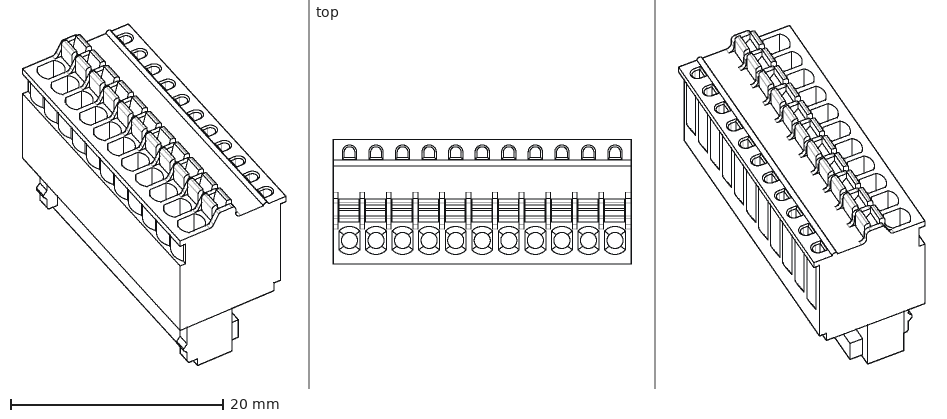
import cadquery as cq
import math


LENGTH = 28.1
POLES = 11
PITCH = 2.5
POLE_X = [(i - (POLES - 1) / 2) * PITCH for i in range(POLES)]

DEPTH = 11.75
HEIGHT = 19.2
BODY_BOTTOM = 5.75
TOP = 17.25
FLANGE_BOTTOM = 16.55
REAR_FACE = 11.15
REAR_STEP_Y = 10.43
REAR_STEP_Z = 6.75
FRONT_RECESS_DEPTH = 0.62
FRONT_RECESS_BOTTOM = 14.05

ENTRY_Y = 2.22
ENTRY_RADIUS = 1.32
ENTRY_WIDTH = 1.97
ENTRY_FLOOR_RADIUS = 0.75
ENTRY_SHAFT_DEPTH = 3.37
ENTRY_FUNNEL_DEPTH = 1.12
ENTRY_WALL_RADIUS = 1.97

TEST_Y = 10.55
TEST_RADIUS = 0.67
TEST_FLAT_OFFSET = 0.67
TEST_CHAMFER = 0.17
TEST_DEPTH = 5.62
TEST_WALL_RADIUS = 1.05
TEST_WALL_BOTTOM = 9.75
TEST_WALL_TAPER_TOP = 10.5

BEAD_Y = 9.53
BEAD_RADIUS = 0.28

RIDGE_SHIFT = -0.042

RIB_WIDTH = 0.45
RIB_TOP = 18.75
RIB_FOOT_Y = 3.3
RIB_FOOT_ARC_MIDDLE = (3.55, 17.35)
RIB_SLOPE_START = (3.7, 17.55)
RIB_SLOPE_END = (4.3, 18.6)
RIB_CREST_ARC_MIDDLE = (4.38, 18.71)
RIB_CREST_Y = 4.52
RIB_REAR = 6.18
RIB_REAR_FILLET = 0.53
RIB_REAR_ROUND = 0.42

BAR_WIDTH = 1.88
BAR_FRONT = 3.95
BAR_REAR = 6.13
BAR_ROUND = 0.3
GROOVE_FLOOR = 17.7
GROOVE_SLOPE_TOP = 18.26
GROOVE_TOP_Y = (4.52, 5.55)
GROOVE_FLOOR_Y = (5.05, 5.23)

PLUG_LENGTH = 27.57
PLUG_FRONT = 2.1
PLUG_REAR = 5.93
PAD_FRONT = 0.8
PAD_THICKNESS = 0.08

LATCH_WIDTH = 1.26
LATCH_FRONT = 0.95
LATCH_BOTTOM = 0.87
LATCH_CHAMFER_Y = 0.17
LATCH_CHAMFER_Z = 0.28
BARB_TIP_Y = 0.55
BARB_Z = (2.22, 2.67, 2.9, 3.35)

RAIL_LENGTH = 25.51
RAIL_REAR = 7.28
RAIL_BOTTOM = 0.3
RAIL_TOP = 2.55
GUSSET_REAR = 7.2
GUSSET_BOTTOM = 4.7


def block(x0, x1, y0, y1, z0, z1):
    """Box between the given coordinates."""
    return cq.Workplane("XY").box(x1 - x0, y1 - y0, z1 - z0, centered=False).translate((x0, y0, z0))


def side_plane(x0):
    """Workplane at x0 whose local axes are Y and Z and which extrudes toward +X."""
    return cq.Workplane("YZ", origin=(x0, 0, 0))


def housing():
    outline = [
        (0, BODY_BOTTOM),
        (REAR_STEP_Y, BODY_BOTTOM),
        (REAR_STEP_Y, REAR_STEP_Z),
        (REAR_FACE, REAR_STEP_Z),
        (REAR_FACE, FLANGE_BOTTOM),
        (DEPTH, FLANGE_BOTTOM),
        (DEPTH, TOP),
        (0, TOP),
        (0, FLANGE_BOTTOM),
        (FRONT_RECESS_DEPTH, FLANGE_BOTTOM),
        (FRONT_RECESS_DEPTH, FRONT_RECESS_BOTTOM),
        (0, FRONT_RECESS_BOTTOM),
    ]
    body = side_plane(-LENGTH / 2).polyline(outline).close().extrude(LENGTH)
    bead = side_plane(-LENGTH / 2).center(BEAD_Y, TOP).circle(BEAD_RADIUS).extrude(LENGTH)
    return body.union(bead)


def entry_wall(x):
    """Round wall of a wire entry, bulging into the front recess."""
    height = FLANGE_BOTTOM - FRONT_RECESS_BOTTOM
    wall = (
        cq.Workplane("XY", origin=(x, ENTRY_Y, FRONT_RECESS_BOTTOM))
        .circle(ENTRY_WALL_RADIUS)
        .extrude(height)
    )
    x0 = x - PITCH / 2
    keep = block(x0, x0 + PITCH, 0, ENTRY_Y, FRONT_RECESS_BOTTOM, FLANGE_BOTTOM)
    return wall.intersect(keep)


def test_wall(x):
    """Round wall of a test hole, bulging from the rear face with a sloped lower end."""
    outer_y = TEST_Y + TEST_WALL_RADIUS
    cylinder = (
        cq.Workplane("XY", origin=(x, TEST_Y, TEST_WALL_BOTTOM))
        .circle(TEST_WALL_RADIUS)
        .extrude(FLANGE_BOTTOM - TEST_WALL_BOTTOM)
    )
    keep = (
        side_plane(x - TEST_WALL_RADIUS)
        .moveTo(TEST_Y, TEST_WALL_BOTTOM)
        .lineTo(REAR_FACE, TEST_WALL_BOTTOM)
        .lineTo(outer_y, TEST_WALL_TAPER_TOP)
        .lineTo(outer_y, FLANGE_BOTTOM)
        .lineTo(TEST_Y, FLANGE_BOTTOM)
        .close()
        .extrude(2 * TEST_WALL_RADIUS)
    )
    return cylinder.intersect(keep)


def four_sided_outline(plane, half_width, half_flat, radius, side_bulge):
    """Closed outline with arcs front and rear; its two sides are arcs or, without bulge, straight."""
    plane = plane.moveTo(half_width, -half_flat)
    if side_bulge:
        plane = plane.threePointArc((radius, 0), (half_width, half_flat))
    else:
        plane = plane.lineTo(half_width, half_flat)
    plane = plane.threePointArc((0, radius), (-half_width, half_flat))
    if side_bulge:
        plane = plane.threePointArc((-radius, 0), (-half_width, -half_flat))
    else:
        plane = plane.lineTo(-half_width, -half_flat)
    return plane.threePointArc((0, -radius), (half_width, -half_flat)).close()


def wire_entry(x):
    """Straight flat-sided shaft that ends in a funnel down to a circular floor."""
    half_width = ENTRY_WIDTH / 2
    half_flat = math.sqrt(ENTRY_RADIUS**2 - half_width**2)
    floor_corner = ENTRY_FLOOR_RADIUS * math.sqrt(0.5)
    shaft_bottom = cq.Workplane("XY", origin=(x, ENTRY_Y, TOP - ENTRY_SHAFT_DEPTH))
    shaft = four_sided_outline(shaft_bottom, half_width, half_flat, ENTRY_RADIUS, False)
    shaft = shaft.extrude(ENTRY_SHAFT_DEPTH)
    floor = cq.Workplane("XY", origin=(x, ENTRY_Y, TOP - ENTRY_SHAFT_DEPTH - ENTRY_FUNNEL_DEPTH))
    funnel = four_sided_outline(floor, floor_corner, floor_corner, ENTRY_FLOOR_RADIUS, True)
    funnel = funnel.workplane(offset=ENTRY_FUNNEL_DEPTH)
    funnel = four_sided_outline(funnel, half_width, half_flat, ENTRY_RADIUS, False)
    return shaft.union(funnel.loft(ruled=True))


def d_outline(plane, inset):
    """D outline with its round side to the rear, shrunk by the inset."""
    radius = TEST_RADIUS - inset
    flat = TEST_FLAT_OFFSET - inset
    return (
        plane.moveTo(-radius, -flat)
        .lineTo(radius, -flat)
        .lineTo(radius, 0)
        .threePointArc((0, radius), (-radius, 0))
        .close()
    )


def test_hole(x):
    chamfer = d_outline(cq.Workplane("XY", origin=(x, TEST_Y, TOP)), 0)
    chamfer = chamfer.workplane(offset=-TEST_CHAMFER)
    chamfer = d_outline(chamfer, TEST_CHAMFER).loft(ruled=True)
    shaft = cq.Workplane("XY", origin=(x, TEST_Y, TOP - TEST_DEPTH))
    shaft = d_outline(shaft, TEST_CHAMFER).extrude(TEST_DEPTH)
    return chamfer.union(shaft)


def partition_rib(x0, x1):
    """Humped rib across the top face, curved into the face at both feet."""
    return (
        side_plane(x0)
        .moveTo(RIB_FOOT_Y, TOP)
        .threePointArc(RIB_FOOT_ARC_MIDDLE, RIB_SLOPE_START)
        .lineTo(*RIB_SLOPE_END)
        .threePointArc(RIB_CREST_ARC_MIDDLE, (RIB_CREST_Y, RIB_TOP))
        .lineTo(RIB_REAR - RIB_REAR_ROUND, RIB_TOP)
        .radiusArc((RIB_REAR, RIB_TOP - RIB_REAR_ROUND), RIB_REAR_ROUND)
        .lineTo(RIB_REAR, TOP + RIB_REAR_FILLET)
        .radiusArc((RIB_REAR + RIB_REAR_FILLET, TOP), -RIB_REAR_FILLET)
        .close()
        .extrude(x1 - x0)
    )


def push_bar(x):
    """Bar with rounded outer top edges and a flat-bottomed groove along its top."""
    x0 = x - BAR_WIDTH / 2
    bar = block(x0, x0 + BAR_WIDTH, BAR_FRONT, BAR_REAR, TOP, HEIGHT)
    bar = bar.edges(">Z and |X").fillet(BAR_ROUND)
    groove = (
        side_plane(x0)
        .moveTo(GROOVE_TOP_Y[0], HEIGHT)
        .lineTo(GROOVE_TOP_Y[0], GROOVE_SLOPE_TOP)
        .lineTo(GROOVE_FLOOR_Y[0], GROOVE_FLOOR)
        .lineTo(GROOVE_FLOOR_Y[1], GROOVE_FLOOR)
        .lineTo(GROOVE_TOP_Y[1], HEIGHT)
        .close()
        .extrude(BAR_WIDTH)
    )
    return bar.cut(groove)


def plug():
    half = PLUG_LENGTH / 2
    core = block(-half, half, PLUG_FRONT, PLUG_REAR, 0, BODY_BOTTOM)
    pad = block(-half, half, PAD_FRONT, PLUG_FRONT, BODY_BOTTOM - PAD_THICKNESS, BODY_BOTTOM)
    rail = block(-RAIL_LENGTH / 2, RAIL_LENGTH / 2, PLUG_REAR, RAIL_REAR, RAIL_BOTTOM, RAIL_TOP)
    gusset = (
        side_plane(-RAIL_LENGTH / 2)
        .moveTo(PLUG_REAR, BODY_BOTTOM)
        .lineTo(GUSSET_REAR, BODY_BOTTOM)
        .lineTo(PLUG_REAR, GUSSET_BOTTOM)
        .close()
        .extrude(RAIL_LENGTH)
    )
    return core.union(pad).union(rail).union(gusset)


def latch(x0):
    """Latch finger with a blunt barb, standing on the plug front."""
    outline = [
        (PLUG_FRONT, LATCH_BOTTOM),
        (LATCH_FRONT + LATCH_CHAMFER_Y, LATCH_BOTTOM),
        (LATCH_FRONT, LATCH_BOTTOM + LATCH_CHAMFER_Z),
        (LATCH_FRONT, BARB_Z[0]),
        (BARB_TIP_Y, BARB_Z[1]),
        (BARB_TIP_Y, BARB_Z[2]),
        (LATCH_FRONT, BARB_Z[3]),
        (LATCH_FRONT, BODY_BOTTOM),
        (PLUG_FRONT, BODY_BOTTOM),
    ]
    return side_plane(x0).polyline(outline).close().extrude(LATCH_WIDTH)


result = housing().union(plug())

right_latch = PLUG_LENGTH / 2 - LATCH_WIDTH
for latch_x in (right_latch, right_latch - (POLES - 1) * PITCH):
    result = result.union(latch(latch_x))

for pole in POLE_X:
    result = result.union(entry_wall(pole)).union(test_wall(pole)).union(push_bar(pole + RIDGE_SHIFT))

for pole in POLE_X:
    result = result.cut(wire_entry(pole)).cut(test_hole(pole))

for left, right in zip(POLE_X, POLE_X[1:]):
    middle = (left + right) / 2 + RIDGE_SHIFT
    result = result.union(partition_rib(middle - RIB_WIDTH / 2, middle + RIB_WIDTH / 2))

end_rib_offset = (PITCH - RIB_WIDTH) / 2
left_rib_inner = POLE_X[0] + RIDGE_SHIFT - end_rib_offset
right_rib_inner = POLE_X[-1] + RIDGE_SHIFT + end_rib_offset
result = result.union(partition_rib(-LENGTH / 2, left_rib_inner))
result = result.union(partition_rib(right_rib_inner, LENGTH / 2))